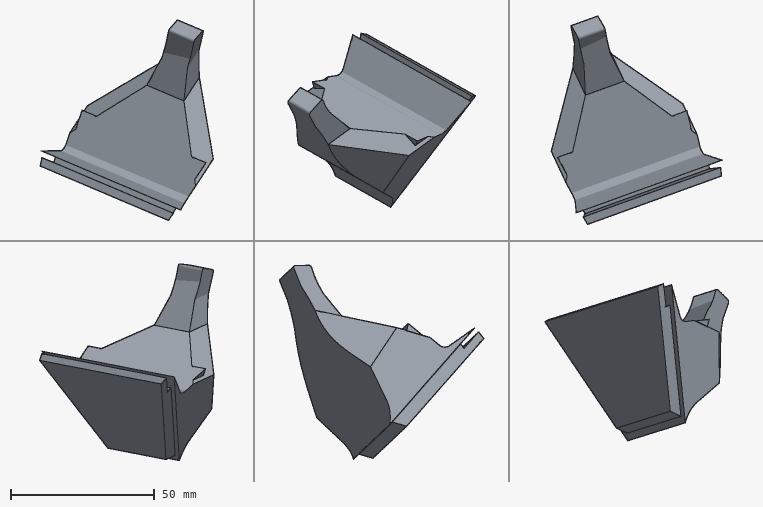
import cadquery as cq

blade_top = 39.9
shoulder_height = 32.45
neck_height = 42.1
handle_height = 51.6

tip_front_y = 57.65
tip_front_height = 61.8
tip_back_y = 64.95
tip_back_height = 59.4
handle_round = 1.0

blade_width = 55.0
handle_width = 10.0

base_half = 12.85
blade_half = blade_width / 2
neck_half = 7.3
handle_half = handle_width / 2
plate_inset = 1.6
side_slope = (blade_half - base_half) / blade_top
shoulder_half = base_half + side_slope * shoulder_height

blade_top_y = 4.9
blade_bottom_y = 30.7
blade_end_y = 20.7
ledge_end_y = 29.75
taper_start_y = 34.5
neck_back_y = 57.35
blade_slope = (blade_bottom_y - blade_top_y) / blade_top

plate_bottom = 2.2
plate_bottom_y = 23.4
plate_back_y = blade_bottom_y - blade_slope * plate_bottom
plate_front_top = 38.2
plate_lip_y = 2.45
slot_floor_y = 6.8
slot_floor = 33.2
slot_back = 34.25
slot_back_y = blade_bottom_y - blade_slope * slot_back

valley_front = (13.65, 31.35)
valley_middle = (15.8, 30.65)
valley_back = (17.6, 31.0)
neck_front_y = 45.7
handle_front_y = 52.7
handle_front_middle = (55.5, 56.2)
handle_back_y = 61.5
neck_back_middle = (59.2, 46.9)
back_middle = (53.65, 32.0)
back_lower = (48.4, 24.4)
heel_upper = (34.4, 8.8)
heel_middle = (31.6, 4.8)


def extrude_side(sketch):
    """Extrude a closed Y-Z outline across the full width."""
    return sketch.close().extrude(blade_half, both=True)


def symmetric_prism(right_points, start_y, end_y):
    """Mirror an X-Z half outline about X = 0 and extrude it along Y."""
    left_points = [(-x, z) for x, z in reversed(right_points)]
    outline = cq.Workplane("XZ", origin=(0, start_y, 0)).polyline(right_points + left_points).close()
    return outline.extrude(start_y - end_y)


def wedge(inset, end_y):
    """Space between the two flaring side planes, moved inward by the inset."""
    bottom = (base_half - inset, 0)
    top = (blade_half - inset, blade_top)
    return symmetric_prism([bottom, top], 0, end_y)


def body_side():
    """Blade, body and handle, as one curved slab."""
    outline = (
        cq.Workplane("YZ")
        .moveTo(blade_bottom_y, 0)
        .lineTo(blade_top_y, blade_top)
        .lineTo(*valley_front)
        .threePointArc(valley_middle, valley_back)
        .lineTo(neck_front_y, neck_height)
        .lineTo(handle_front_y, handle_height)
        .threePointArc(handle_front_middle, (tip_front_y, tip_front_height))
        .lineTo(tip_back_y, tip_back_height)
        .lineTo(handle_back_y, handle_height)
        .threePointArc(neck_back_middle, (neck_back_y, neck_height))
        .threePointArc(back_middle, back_lower)
        .lineTo(*heel_upper)
        .threePointArc(heel_middle, (blade_bottom_y, 0))
    )
    return extrude_side(outline)


def plate():
    """Inclined front plate with a slot between its upper edge and the blade."""
    outline = (
        cq.Workplane("YZ")
        .moveTo(plate_back_y, plate_bottom)
        .lineTo(plate_bottom_y, plate_bottom)
        .lineTo(0, plate_front_top)
        .lineTo(plate_lip_y, blade_top)
        .lineTo(slot_floor_y, slot_floor)
        .lineTo(slot_back_y, slot_back)
    )
    return extrude_side(outline).intersect(wedge(plate_inset, blade_bottom_y))


def body_limits():
    """Flared sides with sloping shoulders, tapered toward the back in plan."""
    front = symmetric_prism(
        [(base_half, 0), (shoulder_half, shoulder_height), (neck_half, neck_height)], 0, neck_back_y
    )
    plan = (
        cq.Workplane("XY")
        .polyline([
            (-shoulder_half, 0),
            (shoulder_half, 0),
            (shoulder_half, taper_start_y),
            (neck_half, neck_back_y),
            (-neck_half, neck_back_y),
            (-shoulder_half, taper_start_y),
        ])
        .close()
        .extrude(neck_height)
    )
    return front.intersect(plan)


def handle_limits():
    """Neck narrowing to the parallel sides of the handle."""
    return symmetric_prism(
        [(neck_half, neck_height), (handle_half, handle_height), (handle_half, tip_front_height)],
        0,
        tip_back_y,
    )


side = body_side()
body = side.intersect(body_limits())
blade = side.intersect(wedge(0, blade_end_y))
ledge = side.intersect(wedge(plate_inset, ledge_end_y))

handle = side.intersect(handle_limits())
handle = handle.faces(">Z").edges("|X").fillet(handle_round)

result = body.union(handle).union(blade).union(ledge).union(plate())